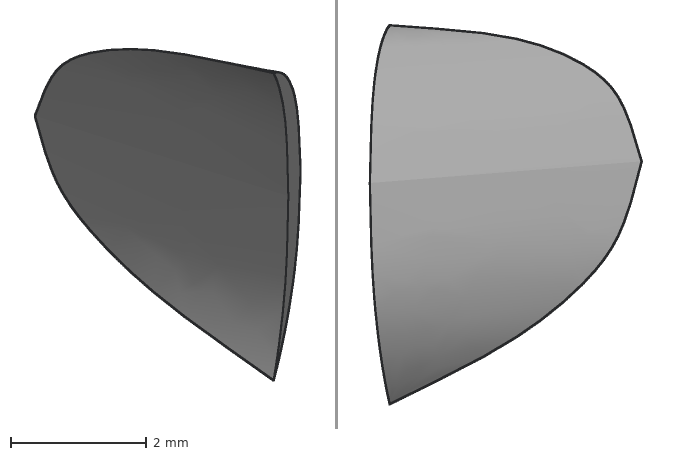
import cadquery as cq

length = 4.12
depth = 1.34
half_height = 3.0
end_thickness = 0.61

rim_points = [(0, 0), (0.175, 0.6), (0.445, 1.2), (1.045, 1.8), (2.14, 2.4), (length, half_height)]

end_points = [(end_thickness, 0), (0.655, 0.75), (0.745, 1.5), (0.96, 2.25), (depth, half_height)]

slope = depth / length

tip = cq.Vector(0, 0, 0)
back_middle = cq.Vector(length, 0, 0)
front_middle = cq.Vector(length, -end_thickness, 0)

rim = cq.Edge.makeSpline([cq.Vector(x, -slope * x, z) for x, z in rim_points])
end_back = cq.Edge.makeSpline([cq.Vector(length, -slope * x, z) for x, z in rim_points])
end_front = cq.Edge.makeSpline([cq.Vector(length, -y, z) for y, z in end_points])
back_crest = cq.Edge.makeLine(tip, back_middle)
front_crease = cq.Edge.makeLine(tip, front_middle)
middle_edge = cq.Edge.makeLine(back_middle, front_middle)


def flat_face(*edges):
    """Planar face bounded by a closed loop of edges."""
    return cq.Face.makeFromWires(cq.Wire.assembleEdges(edges))


back = cq.Face.makeRuledSurface(rim, end_back)
front = cq.Face.makeNSidedSurface([rim, end_front, front_crease], [])
flat_end = flat_face(end_back, end_front, middle_edge)
middle = flat_face(back_crest, middle_edge, front_crease)

upper_half = cq.Workplane(cq.Solid.makeSolid(cq.Shell.makeShell([back, front, flat_end, middle])))
result = upper_half.union(upper_half.mirror("XY"))